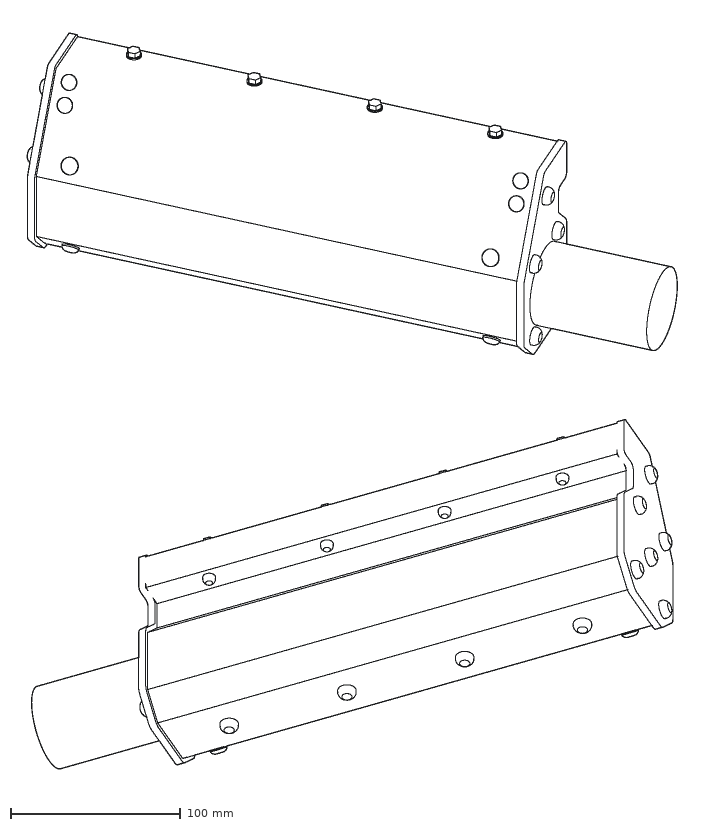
import cadquery as cq
import math


TOTAL_LENGTH = 392.54
TOTAL_WIDTH = 71.12
TOTAL_HEIGHT = 122.73

BODY_LENGTH = 304.8
PLATE_LAYER = 2.3
LAYERS_PER_PLATE = 2
BODY_INSET = 2.8
SHAFT_DIAMETER = 50.8

HALF_WIDTH = TOTAL_WIDTH / 2
SLANT_ANGLE = math.radians(60)
CHAMFER_ANGLE = math.radians(45)
SHOULDER_Z = 22.0
BODY_BOTTOM_Z = -36.4
LOWER_CORNER_Z = -23.0
LIP_DEPTH = 13.6
LIP_BOTTOM_Z = 54.0
PLATE_CORNER_RADIUS = 6.35
LIP_CORNER_RADIUS = 3.175
BODY_TOP_RADIUS = 1.2

LARGE_BUTTON = (11.0, 4.7)
M6_BUTTON = (10.5, 3.3)
M5_BUTTON = (9.5, 2.75)
LIP_BUTTON = (7.6, 4.4)
BUTTON_CROWN_RATIO = 0.55
BUTTON_RIM_RATIO = 0.3
BUTTON_BULGE = (0.85, 0.72)
NUT_FLATS = 7.0
NUT_HEIGHT = 3.2
NUT_WASHER_DIAMETER = 9.0
NUT_WASHER_THICKNESS = 0.8

ROW_PITCH = 76.2
ROW_COUNT = 4
LIP_SCREW_Y = 29.0
END_UPPER_Z = 27.3
END_LOWER_Z = -24.7
END_SCREWS = [
    (0, 62.9),
    (16.4, END_UPPER_Z),
    (-20.6, END_UPPER_Z),
    (20.3, END_LOWER_Z),
    (-20.3, END_LOWER_Z),
]
M6_END_OFFSET = 23.9
M5_END_OFFSET = 14.2
SLANT_SCREWS = [
    (M6_BUTTON, M6_END_OFFSET, 30.2),
    (M5_BUTTON, M5_END_OFFSET, 60.2),
    (M5_BUTTON, M5_END_OFFSET, 72.2),
]
SLOPE_SCREW_Z = -28.5

PLATE_THICKNESS = PLATE_LAYER * LAYERS_PER_PLATE
HOUSING_LENGTH = BODY_LENGTH + 2 * PLATE_THICKNESS
MIDDLE_X = HOUSING_LENGTH / 2
SHAFT_END_X = TOTAL_LENGTH - LARGE_BUTTON[1]
BODY_HEIGHT = TOTAL_HEIGHT - LARGE_BUTTON[1] - NUT_WASHER_THICKNESS - NUT_HEIGHT
BODY_TOP_Z = BODY_BOTTOM_Z + BODY_HEIGHT
PLATE_BOTTOM_Z = BODY_BOTTOM_Z - BODY_INSET
PLATE_TOP_Z = BODY_TOP_Z + BODY_INSET


def outline(inset):
    """Corner points (Y, Z) of the housing section, front, top and bottom moved in by `inset`."""
    front = -HALF_WIDTH + inset
    top = PLATE_TOP_Z - inset
    bottom = PLATE_BOTTOM_Z + inset
    shoulder = SHOULDER_Z - inset * math.tan((math.pi / 2 - SLANT_ANGLE) / 2)
    corner = LOWER_CORNER_Z + inset * math.tan(CHAMFER_ANGLE / 2)
    chamfer_run = (corner - bottom) / math.tan(CHAMFER_ANGLE)
    slant_run = (top - shoulder) / math.tan(SLANT_ANGLE)
    recess = HALF_WIDTH - LIP_DEPTH
    return [
        (HALF_WIDTH, top),
        (front + slant_run, top),
        (front, shoulder),
        (front, corner),
        (front + chamfer_run, bottom),
        (HALF_WIDTH - inset - chamfer_run, bottom),
        (HALF_WIDTH - inset, corner),
        (HALF_WIDTH - inset, -corner),
        (recess - inset, -corner + LIP_DEPTH * math.tan(CHAMFER_ANGLE)),
        (recess - inset, LIP_BOTTOM_Z),
        (HALF_WIDTH, LIP_BOTTOM_Z),
    ]


def prism(points, x_start, length):
    """Solid of the closed (Y, Z) section, running `length` along +X from `x_start`."""
    return cq.Workplane("YZ", origin=(x_start, 0, 0)).polyline(points).close().extrude(length)


def round_edges(solid, points, radius):
    """Fillet the lengthwise edges that pass through the given (Y, Z) corners."""
    x_mid = solid.val().Center().x
    edges = []
    for y, z in points:
        nearest = cq.selectors.NearestToPointSelector((x_mid, y, z))
        edges.append(solid.edges("|X").edges(nearest).val())
    return solid.newObject(edges).fillet(radius)


def make_layer(x_start):
    """One end plate layer with rounded corners."""
    points = outline(0)
    layer = prism(points, x_start, PLATE_LAYER)
    layer = round_edges(layer, points[2:8], PLATE_CORNER_RADIUS)
    return round_edges(layer, points[:2] + points[8:], LIP_CORNER_RADIUS)


def make_body():
    """Long housing body between the end plates."""
    points = outline(BODY_INSET)
    body = prism(points, PLATE_THICKNESS, BODY_LENGTH)
    return round_edges(body, points[1:2], BODY_TOP_RADIUS)


def button_head(size, seat, direction):
    """Domed head with a straight rim and a flat crown, standing on `seat` and pointing along `direction`."""
    diameter, height = size
    radius = diameter / 2
    bulge_radius, bulge_height = BUTTON_BULGE
    seat_plane = cq.Plane(origin=seat, xDir=side_vector(direction), normal=direction)
    head = (
        cq.Workplane(seat_plane.rotated((90, 0, 0)))
        .lineTo(radius, 0)
        .lineTo(radius, height * BUTTON_RIM_RATIO)
        .threePointArc((radius * bulge_radius, height * bulge_height), (radius * BUTTON_CROWN_RATIO, height))
        .lineTo(0, height)
        .close()
        .revolve(360, (0, 0, 0), (0, 1, 0))
    )
    return head.val()


def side_vector(direction):
    """A unit vector square to `direction`, which runs along X or across it."""
    if direction[0] == 0:
        return (1, 0, 0)
    return (0, 1, 0)


def hex_nut():
    """Nut on its washer, standing on Z = 0."""
    washer = cq.Workplane("XY").circle(NUT_WASHER_DIAMETER / 2).extrude(NUT_WASHER_THICKNESS)
    nut_corners = NUT_FLATS / math.cos(math.pi / 6)
    return washer.faces(">Z").workplane().polygon(6, nut_corners).extrude(NUT_HEIGHT)


def end_heads():
    """Five screws through each end plate, and one at the shaft axis on the closed end."""
    heads = [button_head(LARGE_BUTTON, (0, 0, 0), (-1, 0, 0))]
    for y, z in END_SCREWS:
        heads.append(button_head(LARGE_BUTTON, (0, y, z), (-1, 0, 0)))
        heads.append(button_head(LARGE_BUTTON, (HOUSING_LENGTH, y, z), (1, 0, 0)))
    return heads


def front_heads():
    """Screws near both ends of the slanted face and of the lower front slope."""
    points = outline(BODY_INSET)
    front, shoulder = points[2]
    corner = points[3][1]
    slant_normal = (0, -math.sin(SLANT_ANGLE), math.cos(SLANT_ANGLE))
    slope_normal = (0, -math.sin(CHAMFER_ANGLE), -math.cos(CHAMFER_ANGLE))
    heads = []
    for size, end_offset, z in SLANT_SCREWS:
        y = front + (z - shoulder) / math.tan(SLANT_ANGLE)
        for x in (end_offset, HOUSING_LENGTH - end_offset):
            heads.append(button_head(size, (x, y, z), slant_normal))
    y = front + (corner - SLOPE_SCREW_Z) / math.tan(CHAMFER_ANGLE)
    for x in (M6_END_OFFSET, HOUSING_LENGTH - M6_END_OFFSET):
        heads.append(button_head(M6_BUTTON, (x, y, SLOPE_SCREW_Z), slope_normal))
    return heads


def row_fasteners():
    """Nuts and button heads above and below the top lip, and button heads along the bottom."""
    parts = []
    for i in range(ROW_COUNT):
        x = MIDDLE_X + (i - (ROW_COUNT - 1) / 2) * ROW_PITCH
        parts.append(hex_nut().translate((x, LIP_SCREW_Y, BODY_TOP_Z)).val())
        parts.append(button_head(LIP_BUTTON, (x, LIP_SCREW_Y, LIP_BOTTOM_Z), (0, 0, -1)))
        parts.append(button_head(LARGE_BUTTON, (x, 0, BODY_BOTTOM_Z), (0, 0, -1)))
    return parts


def make_plates():
    """Layers of both end plates, stacked along X."""
    layers = []
    for end_x in (0, HOUSING_LENGTH - PLATE_THICKNESS):
        for i in range(LAYERS_PER_PLATE):
            layers.append(make_layer(end_x + i * PLATE_LAYER).val())
    return layers


def make_shaft():
    """Shaft standing out of the +X end plate."""
    base = cq.Workplane("YZ", origin=(HOUSING_LENGTH, 0, 0))
    return base.circle(SHAFT_DIAMETER / 2).extrude(SHAFT_END_X - HOUSING_LENGTH)


attachments = make_plates() + [make_shaft().val()] + end_heads() + front_heads() + row_fasteners()
result = cq.Workplane("XY").newObject([make_body().val().fuse(*attachments)])